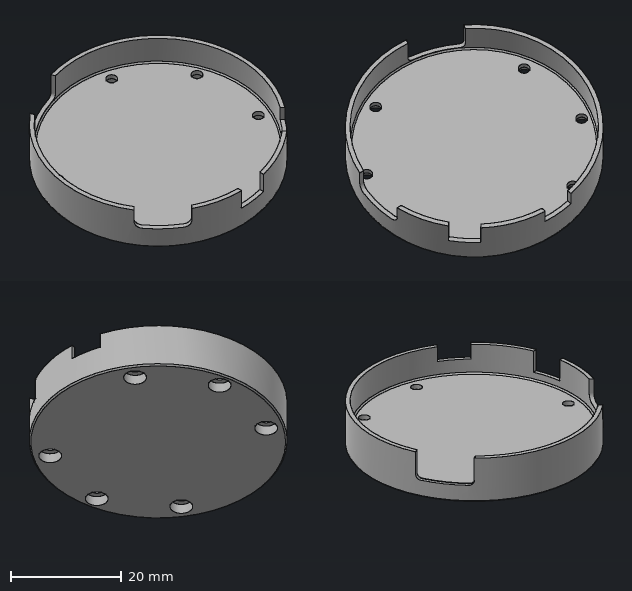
import cadquery as cq
import math

outer_diameter = 46.8
inner_diameter = 45.0
height = 8.95
floor_thickness = 3.0
edge_chamfer = 0.3

hole_diameter = 2.1
counterbore_diameter = 4.1
counterbore_depth = 2.0
axis_hole_radius = 20.5
diagonal_hole_radius = 20.05
axis_hole_angles = (90, 270)
diagonal_hole_angles = (45, 135, 225, 315)

cable_notch_angle = 180
cable_notch_width = 10.9
cable_notch_depth = 5.5
cable_notch_corner = 1.0

window_notch_angle = -67.8
window_notch_width = 10.5
window_notch_depth = 4.3
window_notch_corner = 1.4

shallow_tab_notch_angle = 22.8
shallow_tab_notch_width = 6.2
shallow_tab_notch_depth = 3.0

deep_tab_notch_angle = -22.5
deep_tab_notch_width = 5.85
deep_tab_notch_depth = 4.3

cutter_length = outer_diameter


def make_shell():
    body = cq.Workplane("XY").circle(outer_diameter / 2).extrude(height)
    body = body.faces("<Z").edges().chamfer(edge_chamfer)
    cavity = (
        cq.Workplane("XY", origin=(0, 0, floor_thickness))
        .circle(inner_diameter / 2)
        .extrude(height - floor_thickness)
        .faces("<Z")
        .edges()
        .chamfer(edge_chamfer)
    )
    return body.cut(cavity)


def make_notch(angle, width, depth, corner=0):
    """Parallel-sided cutter through the rim, with optional rounded lower corners."""
    cutter = cq.Workplane("XY").box(cutter_length, width, depth, centered=(False, True, False))
    if corner:
        cutter = cutter.edges("|X and <Z").fillet(corner)
    cutter = cutter.translate((0, 0, height - depth))
    return cutter.rotate((0, 0, 0), (0, 0, 1), angle)


def polar_points(radius, angles):
    return [
        (radius * math.cos(math.radians(angle)), radius * math.sin(math.radians(angle)))
        for angle in angles
    ]


def make_screw_holes():
    centres = polar_points(axis_hole_radius, axis_hole_angles)
    centres += polar_points(diagonal_hole_radius, diagonal_hole_angles)
    holes = cq.Workplane("XY").pushPoints(centres)
    through_holes = holes.circle(hole_diameter / 2).extrude(floor_thickness)
    counterbores = holes.circle(counterbore_diameter / 2).extrude(counterbore_depth)
    return through_holes.union(counterbores)


notches = (
    make_notch(cable_notch_angle, cable_notch_width, cable_notch_depth, cable_notch_corner),
    make_notch(window_notch_angle, window_notch_width, window_notch_depth, window_notch_corner),
    make_notch(shallow_tab_notch_angle, shallow_tab_notch_width, shallow_tab_notch_depth),
    make_notch(deep_tab_notch_angle, deep_tab_notch_width, deep_tab_notch_depth),
)

result = make_shell().cut(make_screw_holes())
for notch in notches:
    result = result.cut(notch)